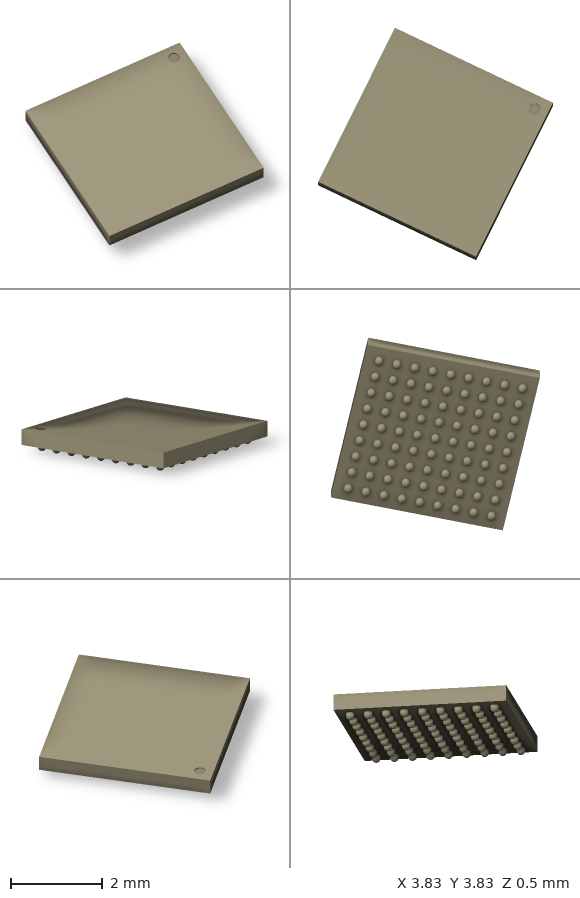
import cadquery as cq

package_side = 3.83
package_height = 0.352

overall_height = 0.5
balls_per_side = 9
ball_grid_span = 3.2
ball_diameter = 0.18
neck_length = 0.073
ball_pitch = ball_grid_span / (balls_per_side - 1)
ball_radius = ball_diameter / 2
ball_drop = overall_height - package_height
cap_height = ball_drop - neck_length
cap_sphere_radius = (ball_radius**2 + cap_height**2) / (2 * cap_height)

marker_diameter = 0.25
marker_edge_distance = 0.3
marker_thickness = 0.02
marker_sink = 0.03
marker_x = -package_side / 2 + marker_edge_distance
marker_y = package_side / 2 - marker_edge_distance
marker_top = package_height - marker_sink
marker_floor = marker_top - marker_thickness


def marker_cylinder(bottom, top):
    """Upright cylinder of the marker's diameter between two heights at the pin 1 corner."""
    return (
        cq.Workplane("XY", origin=(marker_x, marker_y, bottom))
        .circle(marker_diameter / 2)
        .extrude(top - bottom)
    )


def make_ball():
    """Solder ball on the Z axis, hanging from Z = 0."""
    return (
        cq.Workplane("XZ")
        .lineTo(-ball_radius, 0)
        .lineTo(-ball_radius, -neck_length)
        .radiusArc((0, -ball_drop), -cap_sphere_radius)
        .close()
        .revolve(360, (0, 0), (0, 1))
    )


def make_package():
    """Block with the marker recess and the full square grid of solder balls in one solid."""
    block = cq.Workplane("XY").box(
        package_side, package_side, package_height, centered=(True, True, False)
    )
    block = block.cut(marker_cylinder(marker_floor, package_height))
    ball = make_ball().val()
    places = [i * ball_pitch - ball_grid_span / 2 for i in range(balls_per_side)]
    balls = [ball.translate(cq.Vector(x, y, 0)) for x in places for y in places]
    return cq.Workplane(block.val().fuse(*balls))


package = make_package()
marker = marker_cylinder(marker_floor, marker_top)

result = cq.Compound.makeCompound([package.val(), marker.val()])